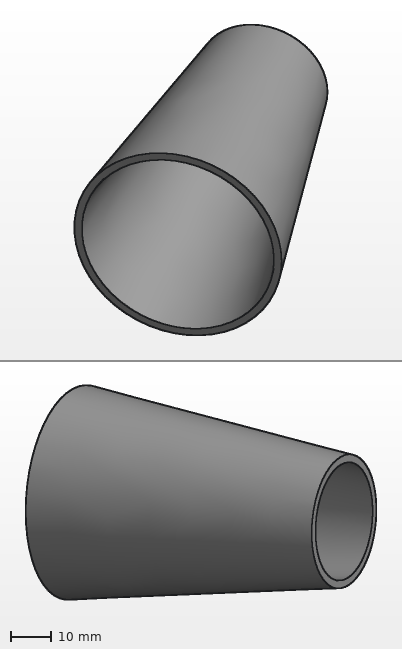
import cadquery as cq

length = 76.0
wide_diameter = 54.0
narrow_diameter = 33.7
wall = 2.0

wide_radius = wide_diameter / 2
narrow_radius = narrow_diameter / 2


def tapered_shell():
    """Revolve the slanted wall section about the Y axis."""
    wall_section = [
        (wide_radius - wall, 0),
        (wide_radius, 0),
        (narrow_radius, length),
        (narrow_radius - wall, length),
    ]
    return (
        cq.Workplane("XY")
        .polyline(wall_section)
        .close()
        .revolve(360, (0, 0, 0), (0, 1, 0))
    )


result = tapered_shell()